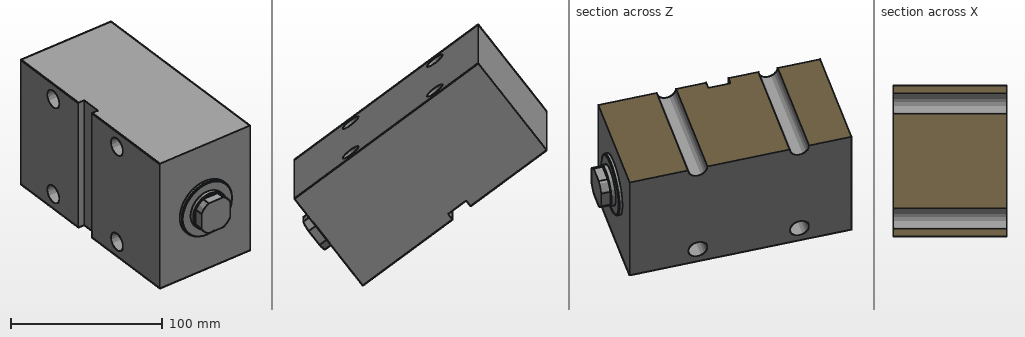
import cadquery as cq

TOTAL_LENGTH = 165.0
BLOCK_DEPTH = 75.0
BLOCK_HEIGHT = 100.0

ROD_PROJECTION = 12.0
GLAND_THICKNESS = 2.6
COLLAR_END = 6.0

BLOCK_LENGTH = TOTAL_LENGTH - ROD_PROJECTION
EDGE_CHAMFER = 0.3

KEYWAY_START = 63.4
KEYWAY_WIDTH = 15.0
KEYWAY_DEPTH = 5.0

HOLE_DIAMETER = 13.0
HOLE_FIRST_X = 36.0
HOLE_SPACING_X = 70.0
HOLE_SPACING_Z = 76.0

GLAND_DIAMETER = 41.9
GLAND_CHAMFER = 0.7

ROD_DIAMETER = 28.0
ROD_CHAMFER = 0.5
SQUARE_WIDTH = 24.0
SQUARE_CORNER_DIAMETER = 26.7


def make_block():
    """Block with chamfered long edges, a keyway and four through holes."""
    block = (
        cq.Workplane("XY")
        .box(BLOCK_LENGTH, BLOCK_DEPTH, BLOCK_HEIGHT, centered=(False, True, True))
        .edges("|X")
        .chamfer(EDGE_CHAMFER)
    )
    keyway = cq.Workplane("XY").box(
        KEYWAY_WIDTH, KEYWAY_DEPTH, BLOCK_HEIGHT, centered=(False, False, True)
    )
    block = block.cut(keyway.translate((KEYWAY_START, -BLOCK_DEPTH / 2, 0)))

    hole_pattern_center = (HOLE_FIRST_X + HOLE_SPACING_X / 2, BLOCK_DEPTH / 2, 0)
    holes = (
        cq.Workplane("XZ", origin=hole_pattern_center)
        .rarray(HOLE_SPACING_X, HOLE_SPACING_Z, 2, 2)
        .circle(HOLE_DIAMETER / 2)
        .extrude(BLOCK_DEPTH)
    )
    return block.cut(holes)


def block_end_plane():
    """Plane on the +X face of the block, centred on the rod axis."""
    return cq.Workplane("YZ", origin=(BLOCK_LENGTH, 0, 0))


def make_gland():
    """Ring around the rod, lying against the block and chamfered outside."""
    disc = (
        block_end_plane()
        .circle(GLAND_DIAMETER / 2)
        .extrude(GLAND_THICKNESS)
        .faces(">X")
        .chamfer(GLAND_CHAMFER)
    )
    bore = block_end_plane().circle(ROD_DIAMETER / 2).extrude(GLAND_THICKNESS)
    return disc.cut(bore)


def make_rod():
    """Round rod with a chamfered shoulder and a square end with rounded corners."""
    collar = (
        block_end_plane()
        .circle(ROD_DIAMETER / 2)
        .extrude(COLLAR_END)
        .faces(">X")
        .chamfer(ROD_CHAMFER)
    )
    square = block_end_plane().rect(SQUARE_WIDTH, SQUARE_WIDTH).extrude(ROD_PROJECTION)
    corner_round = block_end_plane().circle(SQUARE_CORNER_DIAMETER / 2).extrude(ROD_PROJECTION)
    return collar.union(square.intersect(corner_round))


block = make_block()
gland = make_gland()
rod = make_rod()

result = cq.Compound.makeCompound([block.val(), gland.val(), rod.val()])